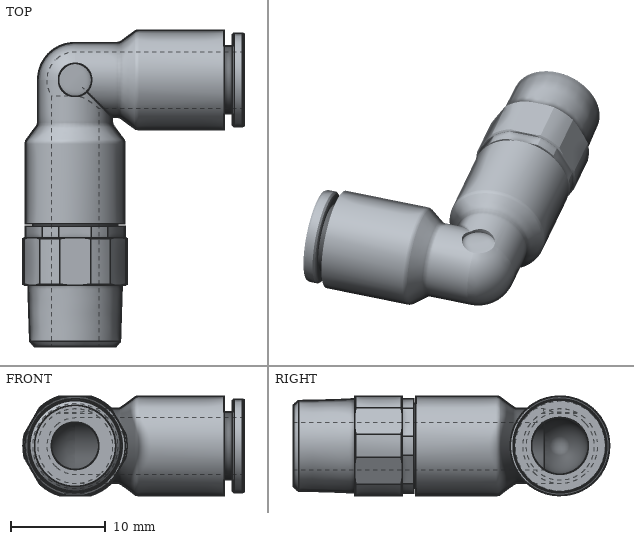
import cadquery as cq
import math

elbow_diameter = 7.9
tube_bore_diameter = 6.0
thread_bore_diameter = 5.0
sleeve_diameter = 10.5
elbow_radius = elbow_diameter / 2
tube_bore_radius = tube_bore_diameter / 2
thread_bore_radius = thread_bore_diameter / 2
sleeve_radius = sleeve_diameter / 2

cone_start = 4.72
cone_end = 6.48
cone_blend_radius = 0.65

tube_sleeve_end = 15.73
collar_neck_diameter = 7.2
collar_lip_diameter = 9.9
collar_lip_start = 16.6
tube_arm_length = 17.84
lip_back_chamfer = 0.2
lip_front_setback = 0.2
lip_front_drop = 0.1

thread_sleeve_end = 15.2
gap_diameter = 9.0
ring_start = 15.43
hex_start = 16.65
hex_end = 21.67
thread_arm_length = 28.15

ring_across_flats = 10.0
ring_corner_diameter = 10.57
hex_across_flats = 10.5
hex_corner_diameter = 11.0
hex_chamfer_width = 0.2
hex_chamfer_depth = 0.12

thread_taper = 1 / 16
gauge_diameter = 9.73
gauge_position = 25.14
tip_diameter = 8.57
tip_chamfer_length = 0.55

recess_diameter = 3.5
recess_floor_height = 3.45


def turned(points):
    """Solid of revolution about X from (distance, radius) points, closed along the axis."""
    start = points[0][0]
    end = points[-1][0]
    profile = cq.Workplane("XY").moveTo(start, 0)
    for point in points:
        profile = profile.lineTo(*point)
    return profile.lineTo(end, 0).close().revolve(360, (0, 0, 0), (1, 0, 0))


def along_thread_arm(body):
    """Turn a body built along +X so that it points along -Y."""
    return body.rotate((0, 0, 0), (0, 0, 1), -90)


def arm(sleeve_end):
    """Elbow arm along +X with its blended cone and sleeve."""
    cone_angle = math.atan2(sleeve_radius - elbow_radius, cone_end - cone_start)
    tangent = cone_blend_radius * math.tan(cone_angle / 2)
    along = tangent * math.cos(cone_angle)
    outward = tangent * math.sin(cone_angle)
    middle_along = cone_blend_radius * math.sin(cone_angle / 2)
    middle_outward = cone_blend_radius * (1 - math.cos(cone_angle / 2))
    return (
        cq.Workplane("XY")
        .lineTo(0, elbow_radius)
        .lineTo(cone_start - tangent, elbow_radius)
        .threePointArc(
            (cone_start - tangent + middle_along, elbow_radius + middle_outward),
            (cone_start + along, elbow_radius + outward),
        )
        .lineTo(cone_end - along, sleeve_radius - outward)
        .threePointArc(
            (cone_end + tangent - middle_along, sleeve_radius - middle_outward),
            (cone_end + tangent, sleeve_radius),
        )
        .lineTo(sleeve_end, sleeve_radius)
        .lineTo(sleeve_end, 0)
        .close()
        .revolve(360, (0, 0, 0), (1, 0, 0))
    )


def release_collar():
    """Neck and chamfered lip at the open end of the tube arm."""
    neck_radius = collar_neck_diameter / 2
    lip_radius = collar_lip_diameter / 2
    return turned([
        (tube_sleeve_end, neck_radius),
        (collar_lip_start, neck_radius),
        (collar_lip_start, lip_radius - lip_back_chamfer),
        (collar_lip_start + lip_back_chamfer, lip_radius),
        (tube_arm_length - lip_front_setback, lip_radius),
        (tube_arm_length, lip_radius - lip_front_drop),
    ])


def hexagon(start, end, across_flats):
    """Hexagonal prism along +X with two flats facing up and down."""
    across_corners = across_flats / math.cos(math.pi / 6)
    return cq.Workplane("YZ", origin=(start, 0, 0)).polygon(6, across_corners).extrude(end - start)


def ring_nut():
    """Short rounded hexagon next to the gap."""
    corner_radius = ring_corner_diameter / 2
    envelope = turned([(ring_start, corner_radius), (hex_start, corner_radius)])
    return hexagon(ring_start, hex_start, ring_across_flats).intersect(envelope)


def wrench_hex():
    """Rounded hexagon with its corners chamfered at both ends."""
    corner_radius = hex_corner_diameter / 2
    end_radius = corner_radius - hex_chamfer_width
    envelope = turned([
        (hex_start, end_radius),
        (hex_start + hex_chamfer_depth, corner_radius),
        (hex_end - hex_chamfer_depth, corner_radius),
        (hex_end, end_radius),
    ])
    return hexagon(hex_start, hex_end, hex_across_flats).intersect(envelope)


def thread_radius(position):
    """Radius of the tapered thread at a distance from the elbow centre."""
    return (gauge_diameter + (gauge_position - position) * thread_taper) / 2


def tapered_thread():
    """Plain tapered thread envelope with a chamfered tip."""
    tip_start = thread_arm_length - tip_chamfer_length
    return turned([
        (hex_end, thread_radius(hex_end)),
        (tip_start, thread_radius(tip_start)),
        (thread_arm_length, tip_diameter / 2),
    ])


def thread_fitting():
    """Everything beyond the sleeve of the threaded arm, built along +X."""
    gap_radius = gap_diameter / 2
    gap = turned([(thread_sleeve_end, gap_radius), (ring_start, gap_radius)])
    return gap.union(ring_nut()).union(wrench_hex()).union(tapered_thread())


def bore():
    """Passage through both arms, rounded by a sphere where they meet."""
    tube_bore = turned([(0, tube_bore_radius), (tube_arm_length, tube_bore_radius)])
    thread_bore = turned([(0, thread_bore_radius), (thread_arm_length, thread_bore_radius)])
    corner = cq.Workplane("XY").sphere(tube_bore_radius)
    return tube_bore.union(along_thread_arm(thread_bore)).union(corner)


def marking_recess():
    """Flat-floored round cut into the top of the elbow."""
    return (
        cq.Workplane("XY", origin=(0, 0, recess_floor_height))
        .circle(recess_diameter / 2)
        .extrude(elbow_radius)
    )


tube_arm = arm(tube_sleeve_end).union(release_collar())
thread_arm = along_thread_arm(arm(thread_sleeve_end).union(thread_fitting()))
bend = cq.Workplane("XY").sphere(elbow_radius)

result = tube_arm.union(thread_arm).union(bend).cut(bore()).cut(marking_recess())